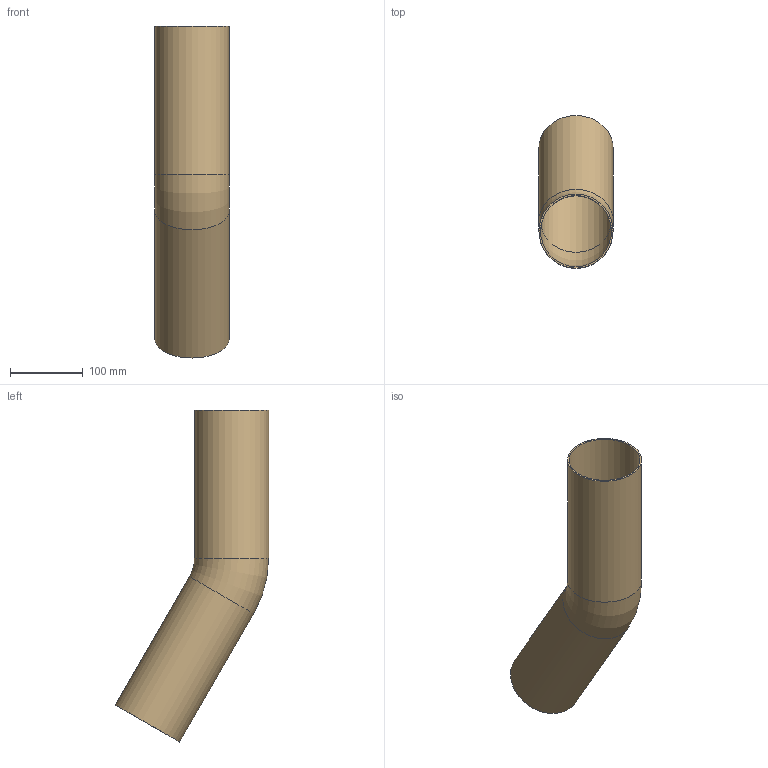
import cadquery as cq
import math

OUTER_DIAMETER = 101.6
INNER_DIAMETER = 97.38
BEND_ANGLE = 30.0
BEND_RADIUS = OUTER_DIAMETER
LEG_LENGTH = 2 * OUTER_DIAMETER


def centreline_bend_end():
    """Return the (y, z) point where the bend meets the lower leg."""
    angle = math.radians(BEND_ANGLE)
    return BEND_RADIUS * (1 - math.cos(angle)), -BEND_RADIUS * math.sin(angle)


def ring(plane):
    """Sketch the tube cross-section, two concentric circles, on a plane."""
    return cq.Workplane(plane).circle(OUTER_DIAMETER / 2).circle(INNER_DIAMETER / 2)


def upper_leg():
    """Vertical tube rising from the start of the bend at the origin."""
    return ring("XY").extrude(LEG_LENGTH)


def bend():
    """Tube section swept downward and toward +Y about an axis parallel to X."""
    axis_start = (0, BEND_RADIUS)
    axis_end = (1, BEND_RADIUS)
    return ring("XY").revolve(BEND_ANGLE, axis_start, axis_end)


def lower_leg():
    """Straight tube leaving the bend tangentially, down and toward +Y."""
    angle = math.radians(BEND_ANGLE)
    y, z = centreline_bend_end()
    direction = (0, math.sin(angle), -math.cos(angle))
    plane = cq.Plane(origin=(0, y, z), xDir=(1, 0, 0), normal=direction)
    return ring(plane).extrude(LEG_LENGTH)


result = upper_leg().union(bend()).union(lower_leg())